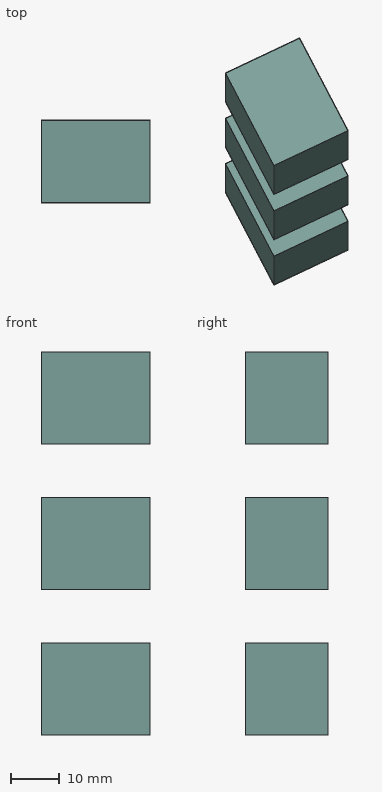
import cadquery as cq

stack_height = 79.0
block_count = 3

block_width = 22.4
block_depth = 17.1
block_height = 19.0

block_pitch = (stack_height - block_height) / (block_count - 1)


def make_block(base_z):
    """Plain block centred on the Z axis, standing on the height base_z."""
    return (
        cq.Workplane("XY")
        .workplane(offset=base_z)
        .box(block_width, block_depth, block_height, centered=(True, True, False))
    )


blocks = [make_block(index * block_pitch) for index in range(block_count)]

result = cq.Compound.makeCompound([block.val() for block in blocks])